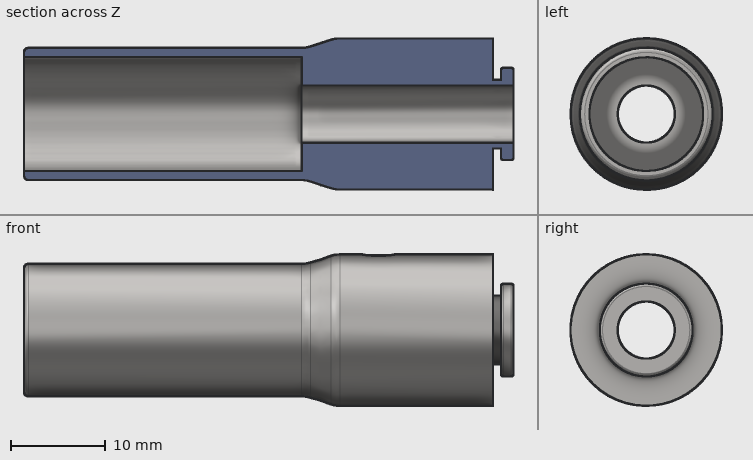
import cadquery as cq
import math

length = 51.66

stem_radius = 7.0
stem_bore_radius = 6.0
stem_rim_fillet = 0.5

body_radius = 8.0
body_end = 49.5
cone_start = 29.77
cone_end = 32.85
cone_blend_radius = 3.0

collet_neck_radius = 3.65
collet_flange_radius = 4.9
collet_flange_start = 50.3
collet_flange_fillet = 0.3
through_hole_radius = 3.0

badge_x = 37.4
badge_radius = 1.75
badge_depth = 0.1

cone_angle = math.atan2(body_radius - stem_radius, cone_end - cone_start)
blend_tangent = cone_blend_radius * math.tan(cone_angle / 2)
stem_bore_depth = cone_start - blend_tangent


def cylinder(radius, x_start, x_end):
    """Cylinder on the X axis between two stations."""
    return cq.Workplane("YZ", origin=(x_start, 0, 0)).circle(radius).extrude(x_end - x_start)


def make_shell():
    """Solid stem, blended cone and body, revolved about the X axis."""
    blend_x = blend_tangent * math.cos(cone_angle)
    blend_r = blend_tangent * math.sin(cone_angle)
    mid_x = cone_blend_radius * math.sin(cone_angle / 2)
    mid_r = cone_blend_radius * (1 - math.cos(cone_angle / 2))
    stem_tangent_x = cone_start - blend_tangent
    body_tangent_x = cone_end + blend_tangent
    profile = (
        cq.Workplane("XY")
        .moveTo(0, 0)
        .lineTo(0, stem_radius - stem_rim_fillet)
        .radiusArc((stem_rim_fillet, stem_radius), stem_rim_fillet)
        .lineTo(stem_tangent_x, stem_radius)
        .threePointArc(
            (stem_tangent_x + mid_x, stem_radius + mid_r),
            (cone_start + blend_x, stem_radius + blend_r),
        )
        .lineTo(cone_end - blend_x, body_radius - blend_r)
        .threePointArc(
            (body_tangent_x - mid_x, body_radius - mid_r),
            (body_tangent_x, body_radius),
        )
        .lineTo(body_end, body_radius)
        .lineTo(body_end, 0)
        .close()
    )
    return profile.revolve(360, (0, 0, 0), (1, 0, 0))


def make_collet():
    """Collet neck with a round-edged flange at its end."""
    neck = cylinder(collet_neck_radius, body_end, collet_flange_start)
    flange = cylinder(collet_flange_radius, collet_flange_start, length)
    return neck.union(flange.edges().fillet(collet_flange_fillet))


def make_badge_recess():
    """Cutter for a round recess whose floor follows the body surface."""
    disc = (
        cq.Workplane("XY", origin=(badge_x, 0, 0))
        .circle(badge_radius)
        .extrude(body_radius + badge_depth)
    )
    floor_radius = body_radius - badge_depth
    return disc.cut(cylinder(floor_radius, cone_end, body_end))


stem_bore = cylinder(stem_bore_radius, 0, stem_bore_depth)
through_hole = cylinder(through_hole_radius, 0, length)

result = (
    make_shell()
    .union(make_collet())
    .cut(stem_bore)
    .cut(through_hole)
    .cut(make_badge_recess())
)